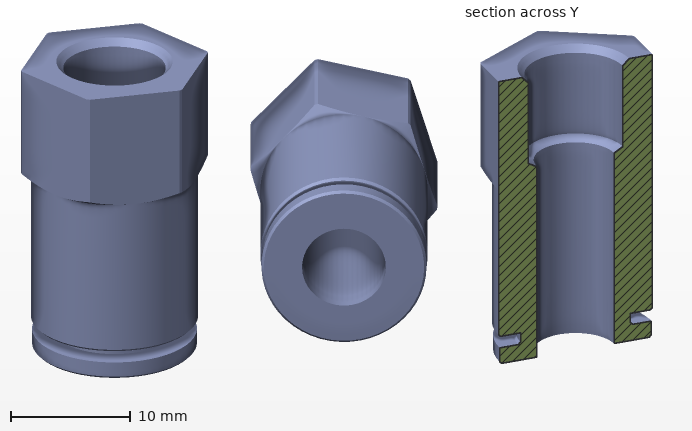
import cadquery as cq
import math

total_height = 26.0
collar_height = 1.5
neck_top = 2.5
hex_height = 10.0
hex_bottom = total_height - hex_height

body_diameter = 14.0
collar_diameter = 13.8
neck_diameter = 10.0
edge_chamfer = 0.2
neck_flare = 0.2

hex_sides = 6
hex_across_flats = 14.0
hex_across_corners = 16.0
hex_chamfer_angle = 30.0

through_diameter = 7.0
thread_diameter = 8.57
thread_mouth_diameter = 9.73
thread_depth = 8.0
drill_point_angle = 120.0


def cylinder(diameter, bottom, top):
    """Cylinder on the Z axis between two heights."""
    return cq.Workplane("XY").workplane(offset=bottom).circle(diameter / 2).extrude(top - bottom)


def revolve_profile(points):
    """Solid of revolution about Z from a closed outline of (radius, height) points."""
    return cq.Workplane("XZ").polyline(points).close().revolve(360, (0, 0), (0, 1))


def make_hex():
    """Hexagon with flats facing +X and -X, rounded corners and a conical lower edge."""
    half_side_angle = 180 / hex_sides
    sharp_corners = hex_across_flats / math.cos(math.radians(half_side_angle))
    prism = (
        cq.Workplane("XY")
        .workplane(offset=hex_bottom)
        .polygon(hex_sides, sharp_corners)
        .extrude(hex_height)
        .rotate((0, 0, 0), (0, 0, 1), half_side_angle)
    )
    chamfer_width = (hex_across_corners - hex_across_flats) / 2
    chamfer_height = chamfer_width * math.tan(math.radians(hex_chamfer_angle))
    envelope = (
        cylinder(hex_across_corners, hex_bottom, total_height)
        .faces("<Z")
        .chamfer(chamfer_height, chamfer_width)
    )
    return prism.intersect(envelope)


def make_body():
    """Round sleeve below the hexagon, chamfered at its lower edge."""
    body = cylinder(body_diameter, neck_top, hex_bottom)
    return body.faces("<Z").chamfer(edge_chamfer)


def make_collar():
    """Release collar, chamfered at its lower edge."""
    collar = cylinder(collar_diameter, 0, collar_height)
    return collar.faces("<Z").chamfer(edge_chamfer)


def make_neck():
    """Thin neck between collar and sleeve, flaring at 45 degrees where it meets the collar."""
    neck_radius = neck_diameter / 2
    return revolve_profile([
        (0, collar_height),
        (neck_radius + neck_flare, collar_height),
        (neck_radius, collar_height + neck_flare),
        (neck_radius, neck_top),
        (0, neck_top),
    ])


def make_bore():
    """Through passage opening by a cone into the threaded socket with its 45 degree countersink."""
    through_radius = through_diameter / 2
    thread_radius = thread_diameter / 2
    mouth_radius = thread_mouth_diameter / 2
    thread_bottom = total_height - thread_depth
    cone_height = (thread_radius - through_radius) / math.tan(math.radians(drill_point_angle / 2))
    countersink_depth = mouth_radius - thread_radius
    return revolve_profile([
        (0, 0),
        (through_radius, 0),
        (through_radius, thread_bottom - cone_height),
        (thread_radius, thread_bottom),
        (thread_radius, total_height - countersink_depth),
        (mouth_radius, total_height),
        (0, total_height),
    ])


outside = make_hex().union(make_body()).union(make_neck()).union(make_collar())
result = outside.cut(make_bore())